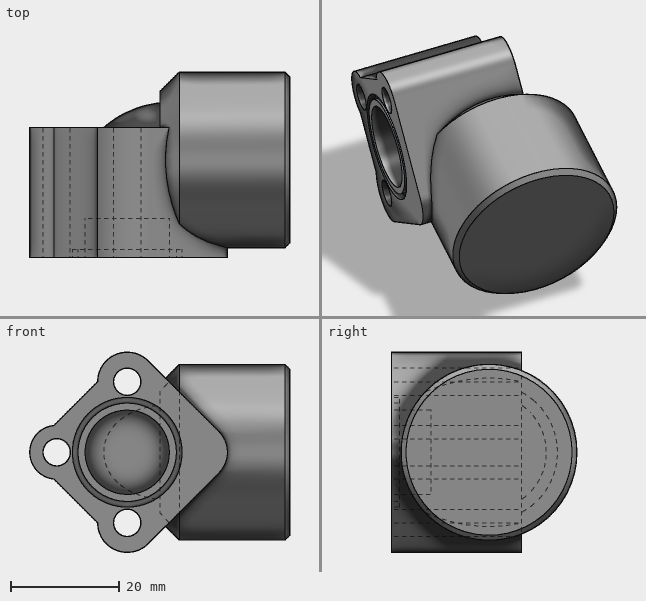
import cadquery as cq
import math

flange_depth = 24.0
hole_offset = 13.0
hole_diameter = 5.0
side_lobe_radius = 5.0
main_lobe_radius = 5.45
back_edge_reach = hole_offset + main_lobe_radius
front_edge_shift = main_lobe_radius / math.sqrt(2)

bore_radius = 7.8
bore_depth = 7.25
groove_inner_radius = 9.05
groove_outer_radius = 10.15
groove_depth = 1.45

port_axis_y = 18.0
port_radius = 16.2
port_start_x = 6.0
port_end_x = 30.0
port_taper = 3.6
port_chamfer = 0.9

elbow_radius = 10.65
bend_radius = 8.0


def on_flange(y=0):
    """Workplane facing -Y at the given depth, with local axes X and Z."""
    return cq.Workplane("XZ", origin=(0, y, 0))


def cylinder_at(x, z, radius, depth):
    return on_flange().center(x, z).circle(radius).extrude(-depth)


def make_flange():
    """Square set on its corner, with lobes around the holes and a rounded corner at +X."""
    shift = front_edge_shift
    upper = (shift, hole_offset + shift)
    right = (hole_offset + shift, shift)
    past_hole = (main_lobe_radius - math.sqrt(2 * side_lobe_radius**2 - main_lobe_radius**2)) / 2
    side_x = hole_offset + past_hole
    side_z = back_edge_reach - side_x
    core_points = [
        (-side_x, -side_z),
        (-side_x, side_z),
        (0, back_edge_reach),
        upper,
        right,
        (right[0], -right[1]),
        (upper[0], -upper[1]),
        (0, -back_edge_reach),
    ]
    flange = on_flange().polyline(core_points).close().extrude(-flange_depth)
    for x, z, radius in [
        (-hole_offset, 0, side_lobe_radius),
        (0, hole_offset, main_lobe_radius),
        (0, -hole_offset, main_lobe_radius),
        (hole_offset, 0, main_lobe_radius),
    ]:
        flange = flange.union(cylinder_at(x, z, radius, flange_depth))
    return flange


def make_port():
    length = port_end_x - port_start_x
    port = cq.Workplane("YZ", origin=(port_start_x, port_axis_y, 0)).circle(port_radius).extrude(length)
    return port.faces("<X").chamfer(port_taper).faces(">X").chamfer(port_chamfer)


def make_elbow():
    """Outer half of a quarter bend between the two axes, tangent to the port axis.

    The tube is wider than the bend, so its profile stops at the bend's own axis.
    """
    half_tube = (
        on_flange(port_axis_y - bend_radius)
        .moveTo(0, elbow_radius)
        .threePointArc((-elbow_radius, 0), (0, -elbow_radius))
        .lineTo(bend_radius, -elbow_radius)
        .lineTo(bend_radius, elbow_radius)
        .close()
    )
    return half_tube.revolve(90, (bend_radius, 0.5, 0), (bend_radius, 0, 0))


def cut_openings(body):
    for x, z in [(-hole_offset, 0), (0, hole_offset), (0, -hole_offset)]:
        body = body.cut(cylinder_at(x, z, hole_diameter / 2, flange_depth))
    body = body.cut(cylinder_at(0, 0, bore_radius, bore_depth))
    groove = on_flange().circle(groove_outer_radius).circle(groove_inner_radius).extrude(-groove_depth)
    return body.cut(groove)


result = cut_openings(make_flange().union(make_elbow()).union(make_port()))